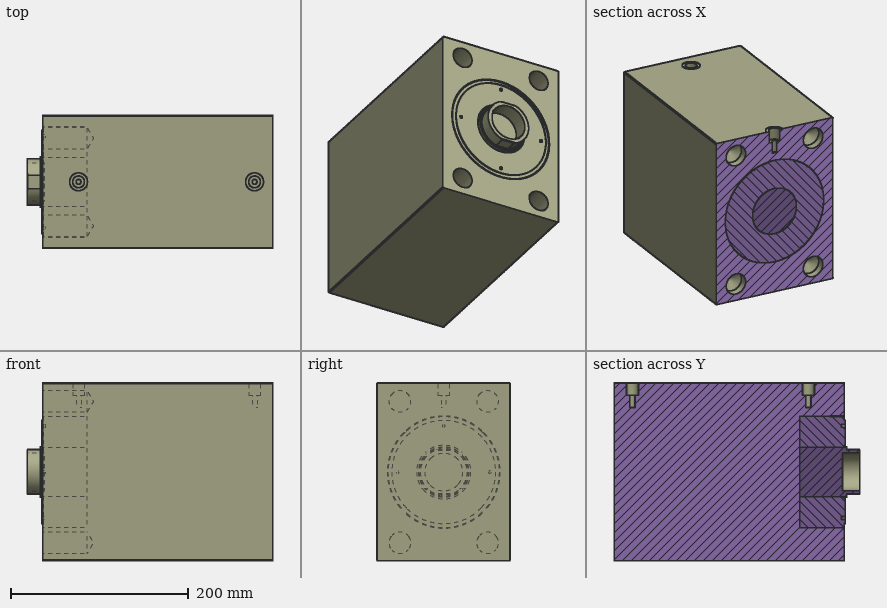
import cadquery as cq


overall_length = 276.0
block_width = 150.0
block_height = 200.0
edge_chamfer = 1.0

mount_diameter = 24.3
mount_spacing_y = 98.5
mount_spacing_z = 159.0
mount_depth = 49.7
drill_tip_depth = 7.2

port_x_positions = (40.3, 238.2)
spotface_diameter = 20.1
spotface_depth = 0.3
port_diameter = 13.2
port_depth = 13.8
oilway_diameter = 5.5
oilway_depth = 27.5

gland_diameter = 125.0
gland_depth = 49.7
gland_seat_chamfer = 0.8
gland_boss_diameter = 116.5
gland_boss_height = 1.0
recess_diameter = 60.7
recess_depth = 2.0
wiper_lip_diameter = 56.9
wiper_lip_projection = 3.0
spanner_hole_count = 4
spanner_hole_diameter = 3.0
spanner_hole_depth = 4.1
spanner_circle_diameter = 103.8

rod_diameter = 55.2
rod_projection = 17.5
rod_nose_diameter = 52.5
rod_shoulder_length = 0.8
wrench_flat_width = 50.2
flat_end_chamfer = 0.8
rod_bore_diameter = 42.5
rod_bore_depth = 19.3

block_length = overall_length - rod_projection


def cylinder_along_x(x_start, length, diameter):
    return cq.Workplane("YZ").workplane(offset=x_start).circle(diameter / 2).extrude(length)


def cone_along_x(x_start, length, start_diameter, end_diameter):
    axis_start = cq.Vector(x_start, 0, 0)
    return cq.Workplane(
        cq.Solid.makeCone(start_diameter / 2, end_diameter / 2, length, axis_start, cq.Vector(1, 0, 0))
    )


def make_mount_hole():
    """Blind hole from the front face, ending in a drill point."""
    hole = cylinder_along_x(0, mount_depth, mount_diameter)
    return hole.union(cone_along_x(mount_depth, drill_tip_depth, mount_diameter, 0))


def make_port(x):
    """Stepped vertical hole: spotface, threaded port and narrow oilway."""
    steps = (
        (spotface_diameter, spotface_depth),
        (port_diameter, port_depth),
        (oilway_diameter, oilway_depth),
    )
    port = cq.Workplane("XY")
    for diameter, depth in steps:
        step = cq.Workplane("XY").circle(diameter / 2).extrude(-depth)
        port = port.union(step)
    return port.translate((x, 0, block_height / 2))


def make_housing():
    housing = (
        cq.Workplane("XY")
        .box(block_length, block_width, block_height, centered=(False, True, True))
        .edges("|X")
        .chamfer(edge_chamfer)
    )

    rim_diameter = gland_diameter + 2 * gland_seat_chamfer
    housing = housing.cut(cylinder_along_x(0, gland_depth, gland_diameter))
    housing = housing.cut(cone_along_x(0, gland_seat_chamfer, rim_diameter, gland_diameter))

    for side_y in (-1, 1):
        for side_z in (-1, 1):
            centre = (0, side_y * mount_spacing_y / 2, side_z * mount_spacing_z / 2)
            housing = housing.cut(make_mount_hole().translate(centre))

    for x in port_x_positions:
        housing = housing.cut(make_port(x))
    return housing


def make_gland():
    gland = cylinder_along_x(0, gland_depth, gland_diameter)
    gland = gland.union(cylinder_along_x(-gland_boss_height, gland_boss_height, gland_boss_diameter))

    recess_floor_x = recess_depth - gland_boss_height
    gland = gland.cut(
        cone_along_x(-gland_boss_height, recess_depth, recess_diameter, wiper_lip_diameter)
    )
    lip_length = wiper_lip_projection + recess_floor_x
    gland = gland.union(cylinder_along_x(-wiper_lip_projection, lip_length, wiper_lip_diameter))

    passage_length = gland_depth + wiper_lip_projection
    gland = gland.cut(cylinder_along_x(-wiper_lip_projection, passage_length, rod_diameter))

    spanner_holes = (
        cq.Workplane("YZ")
        .workplane(offset=-gland_boss_height)
        .polarArray(spanner_circle_diameter / 2, 0, 360, spanner_hole_count)
        .circle(spanner_hole_diameter / 2)
        .extrude(spanner_hole_depth)
    )
    return gland.cut(spanner_holes)


def make_rod():
    shank_start_x = rod_shoulder_length - wiper_lip_projection
    shank = cylinder_along_x(shank_start_x, gland_depth - shank_start_x, rod_diameter)
    shoulder = cone_along_x(-wiper_lip_projection, rod_shoulder_length, rod_nose_diameter, rod_diameter)

    nose_length = rod_projection - wiper_lip_projection
    nose = cylinder_along_x(-rod_projection, nose_length, rod_nose_diameter)
    flats = (
        cq.Workplane("XY")
        .box(nose_length, rod_nose_diameter, wrench_flat_width, centered=(False, True, True))
        .translate((-rod_projection, 0, 0))
        .faces("<X")
        .edges("|Y")
        .chamfer(flat_end_chamfer)
    )
    rod = shank.union(shoulder).union(nose.intersect(flats))

    return rod.cut(cylinder_along_x(-rod_projection, rod_bore_depth, rod_bore_diameter))


housing = make_housing()
gland = make_gland()
rod = make_rod()

result = cq.Compound.makeCompound([housing.val(), gland.val(), rod.val()])